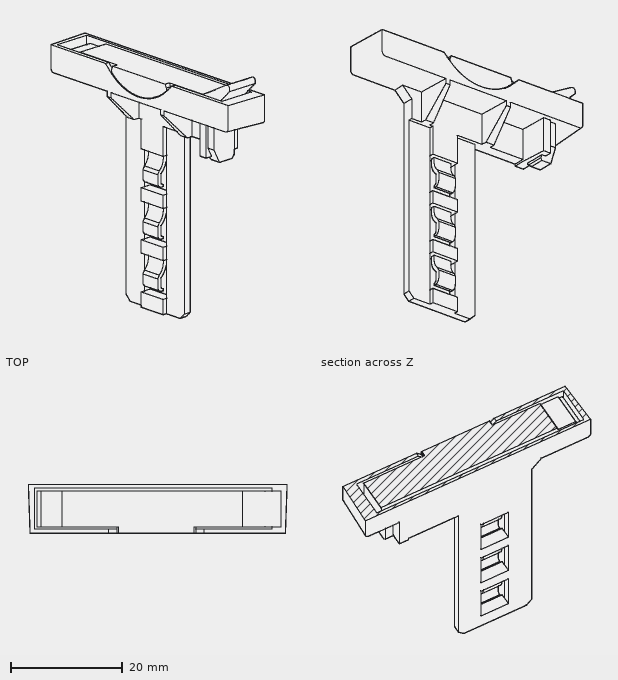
import cadquery as cq
import math


TRAY_LENGTH = 46.5
TRAY_DEPTH = 8.8
TRAY_TOP = 47.35
TRAY_BOTTOM = 41.85
TRAY_CORNER_RADIUS = 0.75
DRAFT_ANGLE = 2
FRONT_WALL = 0.8
BACK_WALL = 0.65
CAVITY_LEFT = -22.1
CAVITY_RIGHT = 20.5
CAVITY_FLOOR = 43.0

NOTCH_X = -0.25
NOTCH_ARC_RADIUS = 10.35
NOTCH_BOTTOM = 43.1
LOBE_GAP = 0.1
LOBE_TOP_HALF_WIDTH = 6.8
LOBE_HALF_WIDTH = 7.1
LOBE_SHOULDER_DROP = 0.65
LOBE_RECESS = 0.1

LATCH_FRONT = 1.15 - TRAY_DEPTH
LATCH_WIDTH = 6.45
LATCH_TOP = 47.25
LATCH_LEFT = -17.15
LATCH_RIGHT = 19.25
LATCH_EDGE_RADIUS = 0.75
LEDGE_LEFT = -21.0
LEDGE_TOP = 46.35
LOW_STEP_LEFT = -21.7
LEDGE_EDGE_RADIUS = 0.5
LEVER_START = 15.2
LEVER_TIP = 22.1
LEVER_TOP = 50.6
LEVER_ANGLE = 30
LEVER_TIP_RADIUS = 0.6
LEVER_FLAT_BOTTOM = 49.55

LADDER_LEFT = -11.1
LADDER_RIGHT = 4.05
RAIL_DEPTH = 1.5
RAIL_CORNER = 1.1
WINDOW_LEFT = -6.25
WINDOW_RIGHT = -0.6
WINDOW_TOP = 30.15
WINDOW_HEIGHT = 7.4
WINDOW_PITCH = 9.9
WINDOW_COUNT = 3
FINGER_LEFT = -5.3
FINGER_RIGHT = -1.45
FINGER_LENGTH = 6.15
FINGER_ROOT_BACK = 0.65
FINGER_ROOT_FRONT = 1.45
FINGER_CREST_BACK = 2.0
FINGER_CREST_FRONT = 2.85
FINGER_CREST_START = 3.6
FINGER_CREST_END = 5.15

PANEL_DEPTH = 2.35
PANEL_BOTTOM = 35.8
PANEL_RIGHT = 14.3
PANEL_CORNER = 2.0
GUSSET_CENTRES = (-7.9, 5.9)
GUSSET_TIP_WIDTH = 0.95
GUSSET_ROOT_WIDTH = 1.95
GUSSET_TIP_HEIGHT = 41.2
PLATE_FRONT_LEFT = 14.65
PLATE_RIGHT = 16.25
PLATE_DEPTH = 7.9
PLATE_BOTTOM = 35.4
HOOK_RIGHT = 17.8
HOOK_DEPTH = 7.4
HOOK_SLOPE_RUN = 1.35
HOOK_BOTTOM = 34.55
HOOK_SLOPE_TOP = 37.25
HOOK_BACK_CHAMFER = 0.6
TOE_LEFT = 15.4
TOE_CHAMFER = 0.35


def box(x0, x1, depth0, depth1, z0, z1):
    """Block between two X places, two depths in front of the back face, and two heights."""
    size = (x1 - x0, depth1 - depth0, z1 - z0)
    return cq.Workplane("XY").box(*size, centered=False).translate((x0, -depth1, z0))


def side_profile(points, x0, x1):
    """Extrude an outline of (Y, Z) points from x0 to x1."""
    return cq.Workplane("YZ", origin=(x0, 0, 0)).polyline(points).close().extrude(x1 - x0)


def make_tray():
    trim = 2.55
    height = TRAY_TOP - TRAY_BOTTOM + trim
    block = (
        cq.Workplane("XZ", origin=(0, 0, TRAY_BOTTOM + height / 2))
        .rect(TRAY_LENGTH, height)
        .extrude(TRAY_DEPTH, taper=DRAFT_ANGLE)
        .faces("<Z").edges("<X or >X").fillet(TRAY_CORNER_RADIUS)
    )
    half = TRAY_LENGTH / 2
    block = block.cut(box(-half, half, 0, TRAY_DEPTH, TRAY_TOP, TRAY_TOP + trim))
    cavity = box(CAVITY_LEFT, CAVITY_RIGHT, BACK_WALL, TRAY_DEPTH - FRONT_WALL, CAVITY_FLOOR, TRAY_TOP)
    return block.cut(cavity).cut(make_notch())


def arc_point(radius, angle):
    """Point on the notch arc, at an angle either side of its lowest point."""
    centre_z = NOTCH_BOTTOM + NOTCH_ARC_RADIUS
    a = math.radians(angle)
    return (NOTCH_X + radius * math.sin(a), centre_z - radius * math.cos(a))


def make_notch():
    left = arc_point(NOTCH_ARC_RADIUS, -45)
    right = arc_point(NOTCH_ARC_RADIUS, 45)
    rise = TRAY_TOP - left[1]
    return (
        cq.Workplane("XZ", origin=(0, FRONT_WALL - TRAY_DEPTH, 0))
        .moveTo(left[0] - rise, TRAY_TOP)
        .lineTo(*left)
        .threePointArc((NOTCH_X, NOTCH_BOTTOM), right)
        .lineTo(right[0] + rise, TRAY_TOP)
        .close()
        .extrude(FRONT_WALL)
    )


def make_lobe():
    radius = NOTCH_ARC_RADIUS - LOBE_GAP
    end_angle = math.degrees(math.asin(LOBE_HALF_WIDTH / radius))
    shoulder = LATCH_TOP - LOBE_SHOULDER_DROP
    return (
        cq.Workplane("XZ", origin=(0, LATCH_FRONT, 0))
        .moveTo(NOTCH_X - LOBE_TOP_HALF_WIDTH, LATCH_TOP)
        .lineTo(NOTCH_X - LOBE_HALF_WIDTH, shoulder)
        .lineTo(*arc_point(radius, -end_angle))
        .threePointArc(arc_point(radius, 0), arc_point(radius, end_angle))
        .lineTo(NOTCH_X + LOBE_HALF_WIDTH, shoulder)
        .lineTo(NOTCH_X + LOBE_TOP_HALF_WIDTH, LATCH_TOP)
        .close()
        .extrude(TRAY_DEPTH + LATCH_FRONT - LOBE_RECESS)
    )


def make_latch():
    slope = math.radians(LEVER_ANGLE)
    tip_x = LEVER_TIP - LEVER_TIP_RADIUS
    tip_z = LEVER_TOP - LEVER_TIP_RADIUS
    upper = (tip_x - LEVER_TIP_RADIUS * math.sin(slope), tip_z + LEVER_TIP_RADIUS * math.cos(slope))
    diagonal = LEVER_TIP_RADIUS * math.sqrt(0.5)
    underside_rise = LEVER_TIP - LATCH_RIGHT
    profile = (
        cq.Workplane("XZ", origin=(0, LATCH_FRONT + LATCH_WIDTH, 0))
        .moveTo(LOW_STEP_LEFT, CAVITY_FLOOR)
        .lineTo(LOW_STEP_LEFT, LEDGE_TOP - LEDGE_EDGE_RADIUS)
        .lineTo(LEDGE_LEFT, LEDGE_TOP - LEDGE_EDGE_RADIUS)
        .radiusArc((LEDGE_LEFT + LEDGE_EDGE_RADIUS, LEDGE_TOP), LEDGE_EDGE_RADIUS)
        .lineTo(LATCH_LEFT, LEDGE_TOP)
        .lineTo(LATCH_LEFT, LATCH_TOP - LATCH_EDGE_RADIUS)
        .radiusArc((LATCH_LEFT + LATCH_EDGE_RADIUS, LATCH_TOP), LATCH_EDGE_RADIUS)
        .lineTo(LEVER_START, LATCH_TOP)
        .lineTo(*upper)
        .threePointArc((tip_x + diagonal, tip_z + diagonal), (LEVER_TIP, tip_z))
        .lineTo(LEVER_TIP, LEVER_FLAT_BOTTOM)
        .lineTo(LATCH_RIGHT, LEVER_FLAT_BOTTOM - underside_rise)
        .lineTo(LATCH_RIGHT, CAVITY_FLOOR)
        .close()
    )
    return profile.extrude(LATCH_WIDTH).union(make_lobe())


def make_finger(top):
    """Spring finger that leaves the bar above it, bulges forward and curls back at its free end."""
    def at(depth, drop):
        return (-depth, top - drop)

    return (
        cq.Workplane("YZ", origin=(FINGER_LEFT, 0, 0))
        .moveTo(*at(FINGER_ROOT_BACK, 0))
        .lineTo(*at(FINGER_ROOT_FRONT, 0))
        .lineTo(*at(FINGER_ROOT_FRONT, 0.95))
        .threePointArc(at(1.75, 2.05), at(2.5, 2.95))
        .lineTo(*at(FINGER_CREST_FRONT, FINGER_CREST_START))
        .lineTo(*at(FINGER_CREST_FRONT, FINGER_CREST_END))
        .threePointArc(at(2.6, 5.8), at(FINGER_CREST_BACK, FINGER_LENGTH))
        .lineTo(*at(FINGER_ROOT_FRONT, FINGER_LENGTH))
        .lineTo(*at(FINGER_ROOT_FRONT, 5.75))
        .threePointArc(at(1.85, 5.55), at(FINGER_CREST_BACK, FINGER_CREST_END))
        .lineTo(*at(FINGER_CREST_BACK, FINGER_CREST_START))
        .threePointArc(at(1.1, 2.55), at(FINGER_ROOT_BACK, 1.2))
        .close()
        .extrude(FINGER_RIGHT - FINGER_LEFT)
    )


def make_ladder():
    rails = box(LADDER_LEFT, LADDER_RIGHT, 0, RAIL_DEPTH, 0, PANEL_BOTTOM)
    rails = rails.faces("<Z").edges("<X or >X").chamfer(RAIL_CORNER)
    ladder = rails.union(box(WINDOW_LEFT, WINDOW_RIGHT, 0, PANEL_DEPTH, 0, PANEL_BOTTOM))
    for i in range(WINDOW_COUNT):
        top = WINDOW_TOP - i * WINDOW_PITCH
        ladder = ladder.cut(box(WINDOW_LEFT, WINDOW_RIGHT, 0, PANEL_DEPTH, top - WINDOW_HEIGHT, top))
        ladder = ladder.union(make_finger(top))
    return ladder


def make_panel():
    top = CAVITY_FLOOR
    corner_rise = top - TRAY_BOTTOM + PANEL_CORNER
    outline = [
        (LADDER_LEFT, PANEL_BOTTOM),
        (PANEL_RIGHT, PANEL_BOTTOM),
        (PANEL_RIGHT, top),
        (LADDER_LEFT - corner_rise, top),
        (LADDER_LEFT, top - corner_rise),
    ]
    return cq.Workplane("XZ").polyline(outline).close().extrude(PANEL_DEPTH)


def make_gusset(centre):
    """Rib under the tray, narrower towards the front, with a 45 degree lower edge."""
    front = -TRAY_DEPTH
    tip = GUSSET_TIP_WIDTH / 2
    root = GUSSET_ROOT_WIDTH / 2
    plan = [
        (centre - root, -PANEL_DEPTH),
        (centre - tip, front),
        (centre + tip, front),
        (centre + root, -PANEL_DEPTH),
    ]
    height = CAVITY_FLOOR - PANEL_BOTTOM
    rib = cq.Workplane("XY", origin=(0, 0, PANEL_BOTTOM)).polyline(plan).close().extrude(height)
    run = GUSSET_TIP_HEIGHT - PANEL_BOTTOM
    wedge = [(front, GUSSET_TIP_HEIGHT), (front, PANEL_BOTTOM), (front + run, PANEL_BOTTOM)]
    return rib.cut(side_profile(wedge, centre - root, centre + root))


def make_hook():
    plan = [
        (PANEL_RIGHT, -PANEL_DEPTH),
        (PLATE_FRONT_LEFT, -PLATE_DEPTH),
        (PLATE_RIGHT, -PLATE_DEPTH),
        (PLATE_RIGHT, 0),
        (PANEL_RIGHT, 0),
    ]
    height = CAVITY_FLOOR - PLATE_BOTTOM
    plate = cq.Workplane("XY", origin=(0, 0, PLATE_BOTTOM)).polyline(plan).close().extrude(height)

    outline = [
        (-PANEL_DEPTH, CAVITY_FLOOR),
        (-PANEL_DEPTH, HOOK_BOTTOM + HOOK_BACK_CHAMFER),
        (-PANEL_DEPTH - HOOK_BACK_CHAMFER, HOOK_BOTTOM),
        (HOOK_SLOPE_RUN - HOOK_DEPTH, HOOK_BOTTOM),
        (-HOOK_DEPTH, HOOK_SLOPE_TOP),
        (-HOOK_DEPTH, CAVITY_FLOOR),
    ]
    hook = side_profile(outline, TOE_LEFT, HOOK_RIGHT)
    toe = [
        (TOE_LEFT, HOOK_BOTTOM),
        (TOE_LEFT + TOE_CHAMFER, HOOK_BOTTOM),
        (TOE_LEFT, HOOK_BOTTOM + TOE_CHAMFER),
    ]
    hook = hook.cut(cq.Workplane("XZ").polyline(toe).close().extrude(TRAY_DEPTH))
    hook = hook.cut(box(TOE_LEFT, PLATE_RIGHT, 0, TRAY_DEPTH, PLATE_BOTTOM, CAVITY_FLOOR))
    return plate.union(hook)


result = make_tray().union(make_latch()).union(make_panel()).union(make_ladder()).union(make_hook())
for gusset_x in GUSSET_CENTRES:
    result = result.union(make_gusset(gusset_x))